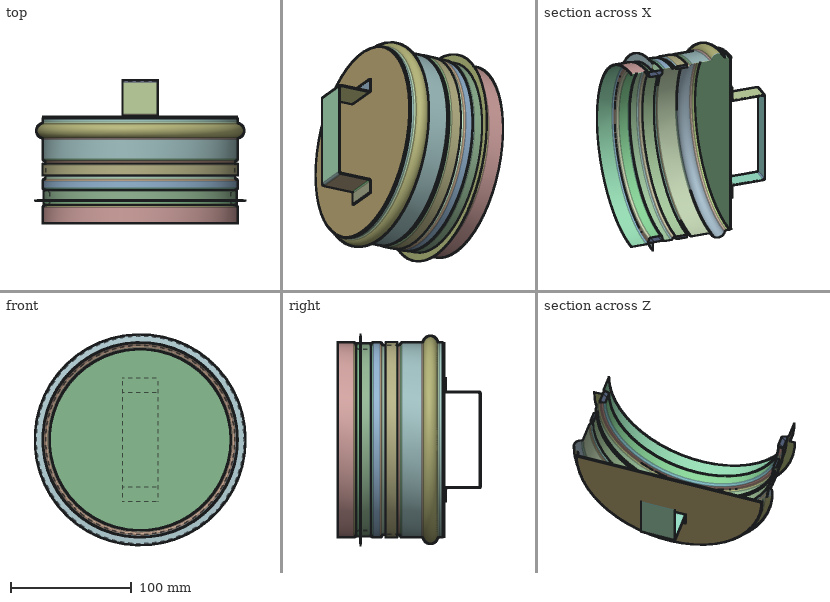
import cadquery as cq
import math


wall = 0.5
shell_r = 161.6 / 2
shell_length = 86.8
bend_r = 1.75

lip_groove_start = 13.3
lip_groove_end = 29.5
lip_groove_floor_r = 75.3
lip_groove_lean = math.radians(75)
band_groove_start = 35.1
band_groove_end = 53.4
band_groove_floor_r = 157 / 2
band_groove_lean = math.radians(65)

bead_crest_r = 172.5 / 2
bead_section_r = 6.4
bead_y = 76.75
bead_fillet = 1.25
bead_center_r = bead_crest_r - bead_section_r

lip_ring_r = 160.2 / 2
lip_ring_width = 12.2
lip_ring_round = 1.0
fin_r = 174.6 / 2
fin_y = 18.95
fin_root_width = 1.1
fin_tip_width = 0.2

band_r = 81.0
band_width = 10.0
band_y = 44.5
band_round = 1.0

cap_r = 160.6 / 2
cap_back_y = 88.5

strap = 1.0
strap_width = 29.5
handle_back_y = 118.5
handle_half_span = 40.0
handle_half_length = 51.0
strap_bend = 1.0


def polar(center, radius, angle):
    """Point at an angle measured from the radial direction towards +Y."""
    return (center[0] + radius * math.cos(angle), center[1] + radius * math.sin(angle))


def arc(outline, center, radius, start, end):
    """Continue the outline along an arc between two angles."""
    return outline.threePointArc(polar(center, radius, (start + end) / 2), polar(center, radius, end))


def revolve(outline):
    return outline.close().revolve(360, (0, 0, 0), (0, 1, 0))


def add_groove(outline, start, end, floor_r, lean, inset):
    """Groove with sides that are two opposite bends joined by a straight slope."""
    depth = shell_r - floor_r
    slope_depth = depth - 2 * bend_r * (1 - math.cos(lean))
    run = 2 * bend_r * math.sin(lean) + slope_depth / math.tan(lean)
    convex = bend_r - inset
    concave = bend_r + inset
    first_top = (shell_r - bend_r, start)
    first_foot = (floor_r + bend_r, start + run)
    last_foot = (floor_r + bend_r, end - run)
    last_top = (shell_r - bend_r, end)

    outline = outline.lineTo(shell_r - inset, start)
    outline = arc(outline, first_top, convex, 0, lean)
    outline = outline.lineTo(*polar(first_foot, concave, math.pi + lean))
    outline = arc(outline, first_foot, concave, math.pi + lean, math.pi)
    outline = outline.lineTo(floor_r - inset, end - run)
    outline = arc(outline, last_foot, concave, math.pi, math.pi - lean)
    outline = outline.lineTo(*polar(last_top, convex, -lean))
    return arc(outline, last_top, convex, -lean, 0)


def add_bead(outline, inset):
    rise = shell_r + bead_fillet - bead_center_r
    angle = math.acos(rise / (bead_section_r + bead_fillet))
    half_length = (bead_section_r + bead_fillet) * math.sin(angle)
    fillet_r = shell_r + bead_fillet
    concave = bead_fillet + inset

    outline = outline.lineTo(shell_r - inset, bead_y - half_length)
    outline = arc(outline, (fillet_r, bead_y - half_length), concave, math.pi, math.pi - angle)
    outline = arc(outline, (bead_center_r, bead_y), bead_section_r - inset, -angle, angle)
    return arc(outline, (fillet_r, bead_y + half_length), concave, math.pi + angle, math.pi)


def shell_envelope(inset):
    """Solid bounded by the sheet surface lying the given inset below the outside."""
    outline = cq.Workplane("XY").lineTo(shell_r - inset, 0)
    outline = add_groove(
        outline, lip_groove_start, lip_groove_end, lip_groove_floor_r, lip_groove_lean, inset
    )
    outline = add_groove(
        outline, band_groove_start, band_groove_end, band_groove_floor_r, band_groove_lean, inset
    )
    outline = add_bead(outline, inset)
    return revolve(outline.lineTo(shell_r - inset, shell_length).lineTo(0, shell_length))


def make_shell():
    return shell_envelope(0).cut(shell_envelope(wall))


def make_ring(inner_r, outer_r, start, width, rounding):
    """Ring whose two outer edges are rounded."""
    ring = cq.Workplane("XZ", origin=(0, start, 0)).circle(outer_r).circle(inner_r).extrude(-width)
    return ring.edges(cq.selectors.RadiusNthSelector(-1)).fillet(rounding)


def make_lip_gasket():
    start = (lip_groove_start + lip_groove_end - lip_ring_width) / 2
    ring = make_ring(lip_groove_floor_r, lip_ring_r, start, lip_ring_width, lip_ring_round)
    fin = (
        cq.Workplane("XY")
        .moveTo(lip_groove_floor_r, fin_y - fin_root_width / 2)
        .lineTo(lip_ring_r, fin_y - fin_root_width / 2)
        .lineTo(fin_r, fin_y - fin_tip_width / 2)
        .lineTo(fin_r, fin_y + fin_tip_width / 2)
        .lineTo(lip_ring_r, fin_y + fin_root_width / 2)
        .lineTo(lip_groove_floor_r, fin_y + fin_root_width / 2)
    )
    return ring.union(revolve(fin)).cut(shell_envelope(0))


def make_band_gasket():
    return make_ring(band_groove_floor_r, band_r, band_y - band_width / 2, band_width, band_round)


def make_cap():
    thickness = cap_back_y - shell_length
    return cq.Workplane("XZ", origin=(0, shell_length, 0)).circle(cap_r).extrude(-thickness)


def make_handle():
    """Strap bent into a bridge with a foot at each end, standing on the cap."""
    foot_y = cap_back_y + strap
    inner_span = handle_half_span - strap
    half_section = [
        (0, handle_back_y),
        (handle_half_span, handle_back_y),
        (handle_half_span, foot_y),
        (handle_half_length, foot_y),
        (handle_half_length, cap_back_y),
        (inner_span, cap_back_y),
        (inner_span, handle_back_y - strap),
        (0, handle_back_y - strap),
    ]
    section = cq.Workplane("YZ").polyline([(y, z) for z, y in half_section]).close()
    half = section.extrude(strap_width / 2, both=True)

    def bend(solid, y, z, radius):
        edge = cq.selectors.NearestToPointSelector((0, y, z))
        return solid.edges("|X").edges(edge).fillet(radius)

    half = bend(half, handle_back_y, handle_half_span, strap_bend + strap)
    half = bend(half, handle_back_y - strap, inner_span, strap_bend)
    half = bend(half, foot_y, handle_half_span, strap_bend)
    half = bend(half, cap_back_y, inner_span, strap_bend + strap)
    return half.union(half.mirror("XY")).clean()


shell = make_shell()
lip_gasket = make_lip_gasket()
band_gasket = make_band_gasket()
cap = make_cap()
handle = make_handle()

result = cq.Compound.makeCompound([
    shell.solids().val(),
    lip_gasket.solids().val(),
    band_gasket.solids().val(),
    cap.solids().val(),
    handle.solids().val(),
])